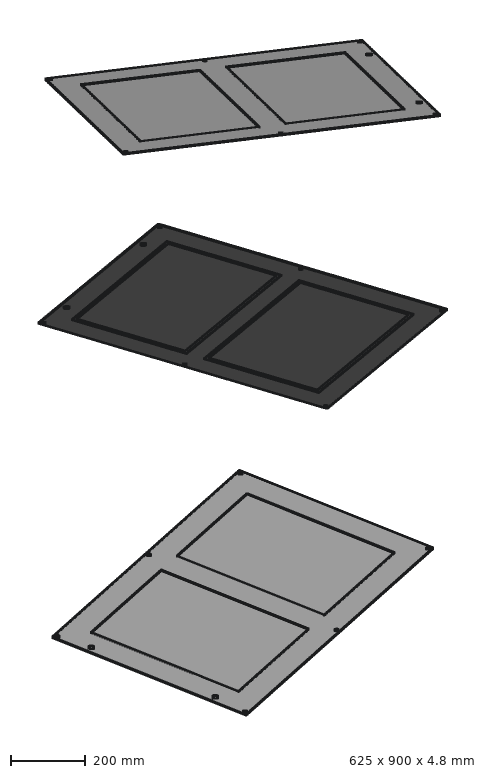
import cadquery as cq

total_thickness = 4.8

frame_width = 625.0
frame_length = 900.0
frame_thickness = 3.2

window_width = 475.0
window_length = 337.5
window_gap = (frame_length - 2 * window_length) / 3
window_offset = (window_length + window_gap) / 2
window_centres = [(0, window_offset), (0, -window_offset)]

panel_overlap = 10.0
panel_width = window_width + 2 * panel_overlap
panel_length = window_length + 2 * panel_overlap
panel_thickness = total_thickness - frame_thickness

fixing_diameter = 10.0
fixing_x = 302.0
fixing_y = 440.0

hanging_diameter = 15.0
hanging_x = 200.0
hanging_y = 430.0


def make_panel(centre):
    """Flat rectangular panel that closes one window from below."""
    x, y = centre
    return (
        cq.Workplane("XY")
        .box(panel_width, panel_length, panel_thickness, centered=(True, True, False))
        .translate((x, y, 0))
    )


def drill(plate, points, diameter):
    """Drill through holes at the given points."""
    cutters = cq.Workplane("XY").pushPoints(points).circle(diameter / 2).extrude(frame_thickness)
    return plate.cut(cutters)


def make_frame():
    """Plate with two windows and its fixing and hanging holes."""
    plate = cq.Workplane("XY").box(
        frame_width, frame_length, frame_thickness, centered=(True, True, False)
    )
    windows = (
        cq.Workplane("XY")
        .pushPoints(window_centres)
        .rect(window_width, window_length)
        .extrude(frame_thickness)
    )
    plate = plate.cut(windows)

    fixing_points = [(x, y) for x in (-fixing_x, fixing_x) for y in (-fixing_y, 0, fixing_y)]
    hanging_points = [(-hanging_x, hanging_y), (hanging_x, hanging_y)]
    plate = drill(plate, fixing_points, fixing_diameter)
    plate = drill(plate, hanging_points, hanging_diameter)
    return plate.translate((0, 0, panel_thickness))


frame = make_frame()
panels = [make_panel(centre) for centre in window_centres]

result = cq.Compound.makeCompound([frame.val(), *[panel.val() for panel in panels]])